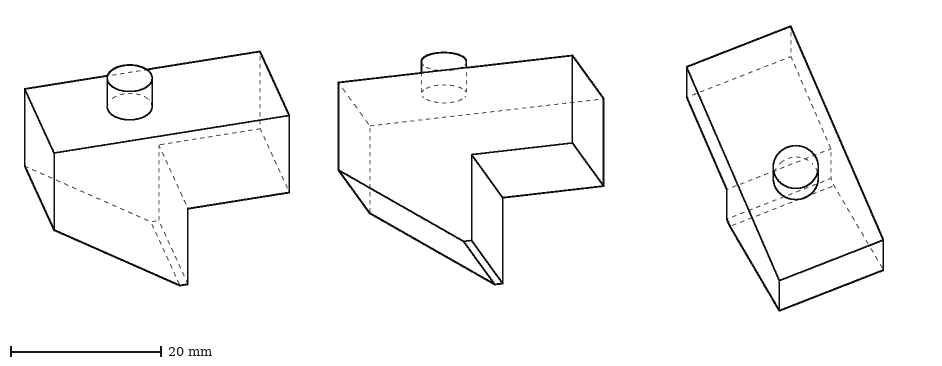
import cadquery as cq

body_width = 15.0
body_length = 32.5
body_height = 12.75

pin_diameter = 6.0
pin_height = 4.68
pin_from_front = 12.48

wedge_length = 18.5
wedge_depth = 12.48
wedge_tip_length = 1.1


def make_body():
    """Block centred on X, front face at Y = 0 and bottom face at Z = 0."""
    return cq.Workplane("XY").box(body_width, body_length, body_height, centered=(True, False, False))


def make_pin():
    return (
        cq.Workplane("XY", origin=(0, pin_from_front, body_height))
        .circle(pin_diameter / 2)
        .extrude(pin_height)
    )


def make_wedge():
    """Full-width wedge with a vertical back and a narrow flat tip."""
    return (
        cq.Workplane("YZ")
        .moveTo(0, 0)
        .lineTo(wedge_length, 0)
        .lineTo(wedge_length, -wedge_depth)
        .lineTo(wedge_length - wedge_tip_length, -wedge_depth)
        .close()
        .extrude(body_width / 2, both=True)
    )


result = make_body().union(make_pin()).union(make_wedge())